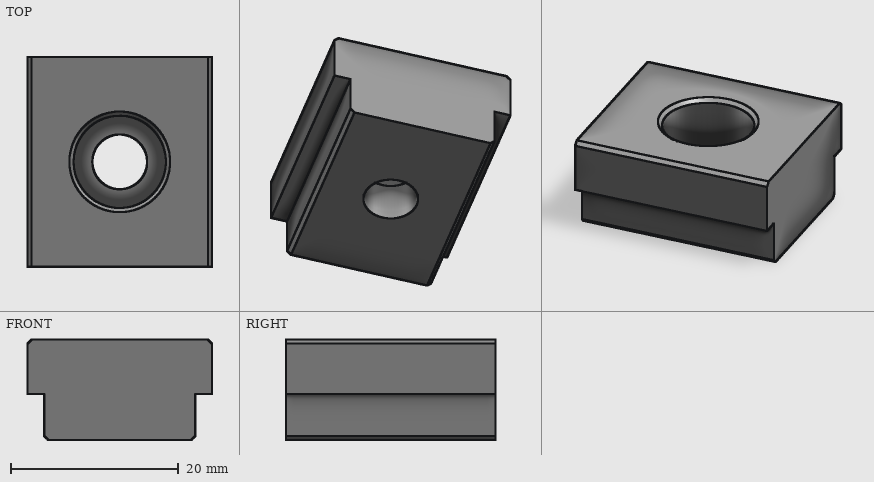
import cadquery as cq

length = 25.0
height = 12.0
head_width = 22.0

tongue_width = 18.0
tongue_height = 5.5

bore_diameter = 6.5
counterbore_diameter = 11.0
counterbore_depth = 6.5

edge_break = 0.5


def make_bar(width, bar_height, base_z):
    """Bar running along Y, centred on X and Y, standing on base_z."""
    return cq.Workplane("XY", origin=(0, 0, base_z)).box(
        width, length, bar_height, centered=(True, True, False)
    )


head = make_bar(head_width, height - tongue_height, tongue_height)
head = head.faces(">Z").edges("|Y").chamfer(edge_break)
tongue = make_bar(tongue_width, tongue_height, 0)
tongue = tongue.faces("<Z").edges("|Y").chamfer(edge_break)
body = head.union(tongue)

body = body.faces(">Z").workplane(origin=(0, 0, height)).cboreHole(
    bore_diameter, counterbore_diameter, counterbore_depth
)

result = body.faces(">Z").edges("%CIRCLE").chamfer(edge_break)